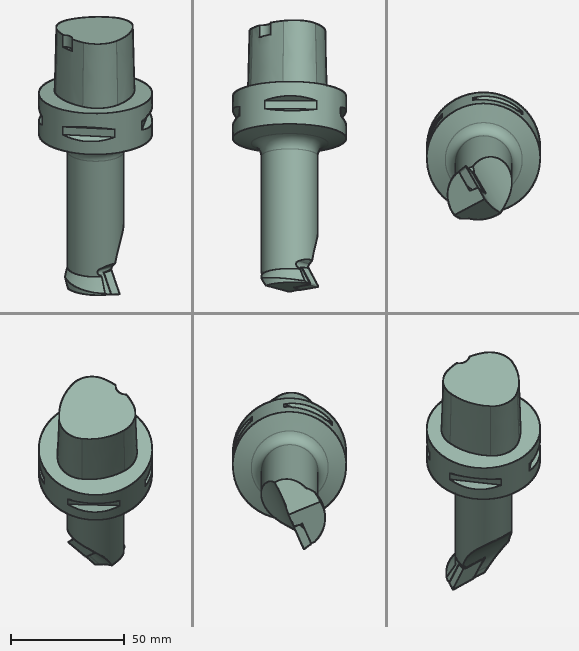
import cadquery as cq
import math


TAPER_HEIGHT = 30.0
TAPER_BASE_RADIUS = 17.5
TAPER_TOP_RADIUS = 16.75
LOBE_HEIGHT = 1.12
ARC_COUNT = 6

NOTCH_RADIUS = 4.4
NOTCH_HEIGHT = 5.5
NOTCH_FLOOR_Y = -13.87

FLANGE_RADIUS = 25.0
FLANGE_HEIGHT = 19.3
GROOVE_COUNT = 4
GROOVE_FLAT_DISTANCE = 22.2
GROOVE_FLAT_HEIGHT = 3.7
GROOVE_OUTER_HEIGHT = 6.8
GROOVE_CENTER_Z = -9.88

SHANK_RADIUS = 12.5
ROOT_SLOPE = 15.0
ROOT_FILLET = 6.0

TOOL_LENGTH = 90.0
HEAD_BOTTOM_Z = -89.1
FLARE_START_Z = -81.9
FLARE_ANGLE = 33.0
HEAD_RADIUS = 15.0
HEAD_CENTER_X = 1.8
BEVEL_START_Z = -75.5
BEVEL_END_X = -0.3
FLUTE_FLOOR_Y = 0.4
FLUTE_RADIUS = 38.0
FLUTE_CENTER_Z = -86.0

INSERT_REACH = 17.0
INSERT_ANGLE = 55.0
INSERT_LEAD = 3.0
INSERT_EDGE = 11.6
INSERT_THICKNESS = 3.97
INSERT_CLEARANCE = 7.0
INSERT_TOP_Y = FLUTE_FLOOR_Y
NOSE_RADIUS = 0.4

SIDE_SETBACK = 0.75
RELIEF_TOP_Z = -76.8
RELIEF_RADIUS = 2.2

CUT_MARGIN = 10.0


def direction(degrees):
    angle = math.radians(degrees)
    return cq.Vector(math.cos(angle), math.sin(angle))


nose_center = cq.Vector(INSERT_REACH - NOSE_RADIUS, NOSE_RADIUS - TOOL_LENGTH)
end_direction = direction(180 - INSERT_LEAD)
side_direction = direction(180 - INSERT_LEAD - INSERT_ANGLE)
bisector = direction(180 - INSERT_LEAD - INSERT_ANGLE / 2)
insert_corner = nose_center - bisector * (NOSE_RADIUS / math.sin(math.radians(INSERT_ANGLE / 2)))


def xz_at(y):
    """Sketch plane at the given Y with local axes +X and +Z; extrusion goes toward -Y."""
    return cq.Workplane("XZ", origin=(0, y, 0))


def taper_point(degrees):
    """Point of the three-lobed base curve; 0 degrees is the middle of the side facing -Y."""
    angle = math.radians(degrees)
    x = TAPER_BASE_RADIUS * math.sin(angle) + LOBE_HEIGHT * math.sin(2 * angle)
    y = -TAPER_BASE_RADIUS * math.cos(angle) + LOBE_HEIGHT * math.cos(2 * angle)
    return (x, y)


def taper_outline():
    """Three flatter sides alternating with three lobes, each one arc."""
    half_span = 180 / ARC_COUNT
    outline = cq.Workplane("XY").moveTo(*taper_point(-half_span))
    for i in range(ARC_COUNT):
        middle = 2 * half_span * i
        outline = outline.threePointArc(taper_point(middle), taper_point(middle + half_span))
    return outline.close()


def polygon_taper():
    side_slope = math.degrees(math.atan((TAPER_BASE_RADIUS - TAPER_TOP_RADIUS) / TAPER_HEIGHT))
    taper = taper_outline().extrude(TAPER_HEIGHT, taper=side_slope)
    notch = (
        cq.Workplane("XY", origin=(0, NOTCH_FLOOR_Y - NOTCH_RADIUS, TAPER_HEIGHT))
        .circle(NOTCH_RADIUS)
        .extrude(-NOTCH_HEIGHT)
    )
    return taper.cut(notch)


def flange_and_shank():
    """Flange, sloped and filleted root, and round shank, revolved about Z."""
    slope = math.radians(ROOT_SLOPE)
    turn = math.radians(90 - ROOT_SLOPE)
    corner_z = -FLANGE_HEIGHT - (FLANGE_RADIUS - SHANK_RADIUS) * math.tan(slope)
    tangent_length = ROOT_FILLET * math.tan(turn / 2)
    slope_end = (
        SHANK_RADIUS + tangent_length * math.cos(slope),
        corner_z + tangent_length * math.sin(slope),
    )
    shank_start_z = corner_z - tangent_length
    arc_middle = (
        SHANK_RADIUS + ROOT_FILLET * (1 - math.cos(turn / 2)),
        shank_start_z + ROOT_FILLET * math.sin(turn / 2),
    )
    return (
        cq.Workplane("XZ")
        .lineTo(FLANGE_RADIUS, 0)
        .lineTo(FLANGE_RADIUS, -FLANGE_HEIGHT)
        .lineTo(*slope_end)
        .threePointArc(arc_middle, (SHANK_RADIUS, shank_start_z))
        .lineTo(SHANK_RADIUS, HEAD_BOTTOM_Z)
        .lineTo(0, HEAD_BOTTOM_Z)
        .close()
        .revolve(360, (0, 0), (0, 1))
    )


def gripper_grooves():
    """Straight trapezoidal grooves, midway between the X and Y axes."""
    half_flat = GROOVE_FLAT_HEIGHT / 2
    half_outer = GROOVE_OUTER_HEIGHT / 2
    profile = [
        (GROOVE_FLAT_DISTANCE, GROOVE_CENTER_Z - half_flat),
        (FLANGE_RADIUS, GROOVE_CENTER_Z - half_outer),
        (FLANGE_RADIUS, GROOVE_CENTER_Z + half_outer),
        (GROOVE_FLAT_DISTANCE, GROOVE_CENTER_Z + half_flat),
    ]
    groove = cq.Workplane("XZ").polyline(profile).close().extrude(FLANGE_RADIUS, both=True)
    pitch = 360 / GROOVE_COUNT
    return [groove.rotate((0, 0, 0), (0, 0, 1), pitch * (i + 0.5)) for i in range(GROOVE_COUNT)]


def flared_head():
    """Cone widening below the shank, limited by the offset round wall of the head."""
    drop = FLARE_START_Z - HEAD_BOTTOM_Z
    bottom_radius = SHANK_RADIUS + drop * math.tan(math.radians(FLARE_ANGLE))
    cone = (
        cq.Workplane("XZ", origin=(0, 0, HEAD_BOTTOM_Z))
        .lineTo(bottom_radius, 0)
        .lineTo(SHANK_RADIUS, drop)
        .lineTo(0, drop)
        .close()
        .revolve(360, (0, 0), (0, 1))
    )
    wall = (
        cq.Workplane("XY", origin=(HEAD_CENTER_X, 0, HEAD_BOTTOM_Z))
        .circle(HEAD_RADIUS)
        .extrude(drop)
    )
    return cone.intersect(wall)


def bevel_cut():
    """Wedge below the slanting face on the -X side of the head."""
    run = BEVEL_END_X + SHANK_RADIUS
    slope = (BEVEL_START_Z - HEAD_BOTTOM_Z) / run
    start = (-SHANK_RADIUS - CUT_MARGIN, BEVEL_START_Z + CUT_MARGIN * slope)
    end = (BEVEL_END_X + CUT_MARGIN, HEAD_BOTTOM_Z - CUT_MARGIN * slope)
    return (
        cq.Workplane("XZ")
        .polyline([start, end, (start[0], end[1])])
        .close()
        .extrude(2 * SHANK_RADIUS, both=True)
    )


def flute_cut():
    """Space on the +Y side: round run-out above, flat floor below the arc's end."""
    arc = (
        cq.Workplane("YZ", origin=(0, FLUTE_FLOOR_Y + FLUTE_RADIUS, FLUTE_CENTER_Z))
        .circle(FLUTE_RADIUS)
        .extrude(2 * FLANGE_RADIUS, both=True)
    )
    floor_height = FLUTE_CENTER_Z - HEAD_BOTTOM_Z + CUT_MARGIN
    floor = xz_at(FLUTE_FLOOR_Y).center(0, FLUTE_CENTER_Z - floor_height / 2)
    floor = floor.rect(4 * FLANGE_RADIUS, floor_height).extrude(-FLUTE_RADIUS)
    return arc.union(floor)


def side_relief_cut():
    """Clearance along the insert's side edge, closed above by a rounded 45-degree shoulder."""
    inward = cq.Vector(-side_direction.y, side_direction.x)
    on_side = insert_corner + inward * SIDE_SETBACK
    shoulder = cq.Vector(SHANK_RADIUS, RELIEF_TOP_Z)
    gap = shoulder - on_side
    along = (gap.x - gap.y) / (side_direction.x - side_direction.y)
    root = on_side + side_direction * along
    below = on_side - side_direction * CUT_MARGIN
    above = shoulder + cq.Vector(CUT_MARGIN, CUT_MARGIN)
    outer = cq.Vector(below.x + CUT_MARGIN, below.y)
    return (
        cq.Workplane("XZ")
        .polyline([(corner.x, corner.y) for corner in (root, above, outer, below)])
        .close()
        .extrude(2 * SHANK_RADIUS, both=True)
        .edges(cq.selectors.NearestToPointSelector((root.x, 0, root.y)))
        .fillet(RELIEF_RADIUS)
    )


def cutting_insert():
    """Rhombic plate whose sides lean in below the cutting edges."""
    end_corner = insert_corner + end_direction * INSERT_EDGE
    far_corner = end_corner + side_direction * INSERT_EDGE
    side_corner = insert_corner + side_direction * INSERT_EDGE
    corners = [insert_corner, end_corner, far_corner, side_corner]
    nose_point = (insert_corner.x, INSERT_TOP_Y - INSERT_THICKNESS / 2, insert_corner.y)
    return (
        xz_at(INSERT_TOP_Y)
        .polyline([(corner.x, corner.y) for corner in corners])
        .close()
        .extrude(INSERT_THICKNESS, taper=INSERT_CLEARANCE)
        .edges(cq.selectors.NearestToPointSelector(nose_point))
        .fillet(NOSE_RADIUS)
    )


def insert_opening(insert):
    """The insert's seat, carried straight out through the flute floor."""
    top_face = insert.faces(">Y").val()
    opening = cq.Solid.extrudeLinear(top_face, cq.Vector(0, CUT_MARGIN, 0))
    return insert.union(cq.Workplane(opening))


insert = cutting_insert()

bar = flange_and_shank().union(polygon_taper()).union(flared_head())
for groove in gripper_grooves():
    bar = bar.cut(groove)
bar = bar.cut(bevel_cut()).cut(flute_cut()).cut(side_relief_cut()).cut(insert_opening(insert))

result = cq.Compound.makeCompound([bar.val(), insert.val()])